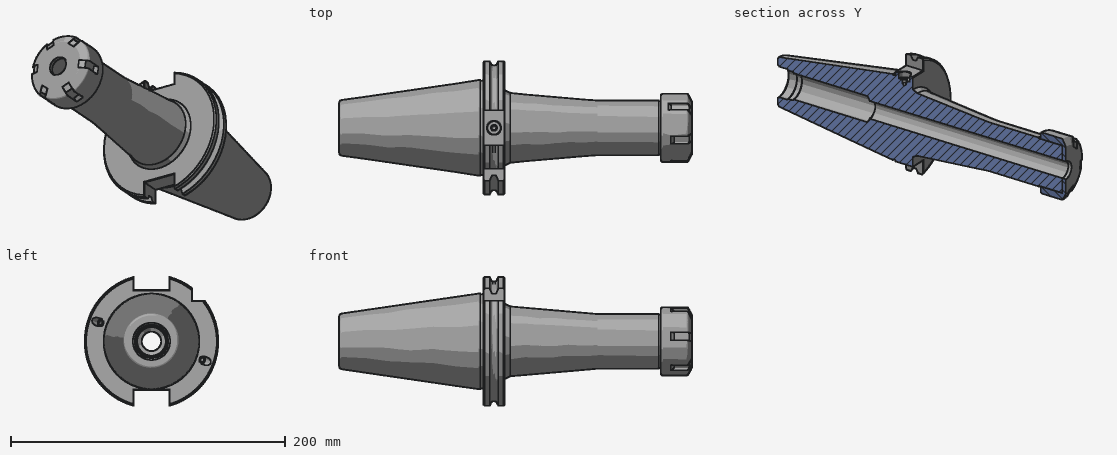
import cadquery as cq
import math


gauge_radius = 34.925
taper_length = 101.75
taper_end_radius = gauge_radius - taper_length * 7 / 48
shank_end_fillet = 2.5

flange_start = 3.2
flange_end = 19.1
flange_radius = 48.75
flange_chamfer = 1.2
undercut_start = 1.0
undercut_radius = 34.4
undercut_fillet = 0.5
groove_center = 11.1
groove_root_radius = 45.6
groove_root_fillet = 1.0
groove_flank_angle = 30
groove_pin_radius = 3.5
groove_pin_center_radius = 50.1

slot_width = 25.7
rim_edge_chamfer = 0.5
upper_slot_floor = 37.5
lower_slot_floor = 35.5
notch_y = -29.7
notch_z = 29.7
chip_pocket_diameter = 9.6
chip_pocket_depth = 4.6
chip_pocket_chamfer = 0.4
chip_pilot_diameter = 3.3
chip_pilot_depth = 3.0
chip_pilot_chamfer = 0.6

coolant_hole_diameter = 6.0
coolant_hole_depth = 3.3
coolant_pilot_diameter = 3.5
coolant_pilot_depth = 7.5
coolant_hole_radius = 41.7
coolant_hole_angle = -70
coolant_hole_slant = 45

neck_fillet_end = 23.0
neck_radius = 25.5
neck_start_radius = 27.4
nose_taper_end = 86.4
nose_radius = 20.0
thread_start = 130.9
thread_radius = 19.5

bore_mouth_radius = 13.6
bore_entry_radius = 12.2
bore_mouth_chamfer = bore_mouth_radius - bore_entry_radius
bore_entry_depth = 8.5
bore_step_radius = 11.4
bore_step_depth = 13.5
bore_thread_radius = 10.4
bore_thread_depth = 80.0
through_radius = 7.0
drill_tip_angle = 59

nut_start = 132.5
nut_end = 155.28
nut_radius = 25.0
nut_rear_fillet = 1.8
nut_front_fillet = 1.8
nut_cone_start = 152.2
nut_face_radius = 19.2
nut_face_fillet = 0.8
nut_lip = 3.0
nut_slot_count = 6
nut_slot_width = 5.9
nut_slot_floor = 22.5
nut_slot_floor_fillet = 0.6
nut_slot_floor_end = 153.1
nut_slot_start = 139.8
nut_slot_front_radius = 18.0
nut_long_slot_extra = 2.0
nut_long_slot_index = 2
nut_turn_angle = 8.8

thread_end = nut_end - nut_lip

PICK_MARGIN = 0.01


def turned(profile):
    """Solid of revolution about X from a closed (x, radius) profile."""
    return profile.close().revolve(360, (0, 0, 0), (1, 0, 0))


def ring(body, x, radius):
    """Circular edge of the body with this radius at this place on the axis."""
    circles = body.edges("%CIRCLE").vals()
    return body.newObject([
        edge for edge in circles
        if abs(edge.radius() - radius) < PICK_MARGIN and abs(edge.Center().x - x) < PICK_MARGIN
    ])


def holder_blank():
    flank_angle = math.radians(groove_flank_angle)
    groove_flank_slope = math.tan(flank_angle)
    apex_radius = groove_pin_center_radius - groove_pin_radius / math.sin(flank_angle)
    groove_half_root = (groove_root_radius - apex_radius) * groove_flank_slope
    groove_half_mouth = (flange_radius - apex_radius) * groove_flank_slope
    shank_end = -taper_length
    blank = turned(
        cq.Workplane("XZ")
        .moveTo(shank_end, 0)
        .lineTo(shank_end, taper_end_radius)
        .lineTo(0, gauge_radius)
        .lineTo(undercut_start, gauge_radius)
        .lineTo(undercut_start, undercut_radius)
        .lineTo(flange_start, undercut_radius)
        .lineTo(flange_start, flange_radius - flange_chamfer)
        .lineTo(flange_start + flange_chamfer, flange_radius)
        .lineTo(groove_center - groove_half_mouth, flange_radius)
        .lineTo(groove_center - groove_half_root, groove_root_radius)
        .lineTo(groove_center + groove_half_root, groove_root_radius)
        .lineTo(groove_center + groove_half_mouth, flange_radius)
        .lineTo(flange_end - flange_chamfer, flange_radius)
        .lineTo(flange_end, flange_radius - flange_chamfer)
        .lineTo(flange_end, neck_start_radius)
        .lineTo(neck_fillet_end, neck_radius)
        .lineTo(nose_taper_end, nose_radius)
        .lineTo(thread_start, nose_radius)
        .lineTo(thread_start, thread_radius)
        .lineTo(thread_end, thread_radius)
        .lineTo(thread_end, 0)
    )
    blank = blank.edges("<X").fillet(shank_end_fillet)
    blank = ring(blank, flange_start, undercut_radius).fillet(undercut_fillet)
    for side in (-1, 1):
        root_corner = ring(blank, groove_center + side * groove_half_root, groove_root_radius)
        blank = root_corner.fillet(groove_root_fillet)
    return blank


def bore_cutter():
    mouth = -taper_length
    entry_end = mouth + bore_entry_depth
    entry_cone = bore_entry_radius - bore_step_radius
    step_end = mouth + bore_step_depth
    step_cone = bore_step_radius - bore_thread_radius
    tip_start = mouth + bore_thread_depth
    tip_length = (bore_thread_radius - through_radius) / math.tan(math.radians(drill_tip_angle))
    return turned(
        cq.Workplane("XZ")
        .moveTo(mouth, 0)
        .lineTo(mouth, bore_mouth_radius)
        .lineTo(mouth + bore_mouth_chamfer, bore_entry_radius)
        .lineTo(entry_end, bore_entry_radius)
        .lineTo(entry_end + entry_cone, bore_step_radius)
        .lineTo(step_end, bore_step_radius)
        .lineTo(step_end + step_cone, bore_thread_radius)
        .lineTo(tip_start, bore_thread_radius)
        .lineTo(tip_start + tip_length, through_radius)
        .lineTo(nut_end, through_radius)
        .lineTo(nut_end, 0)
    )


def flange_block(y_min, y_max, z_min, z_max):
    """Box spanning the flange width, for cutting its rim."""
    return cq.Workplane("XY").box(
        flange_end - flange_start, y_max - y_min, z_max - z_min, centered=False
    ).translate((flange_start, y_min, z_min))


def rim_cutters():
    beyond = flange_radius + 1
    half_slot = slot_width / 2
    return [
        flange_block(-half_slot, half_slot, upper_slot_floor, beyond),
        flange_block(-half_slot, half_slot, -beyond, -lower_slot_floor),
        flange_block(-beyond, notch_y, notch_z, beyond),
    ]


def chip_pocket_cutter():
    """Chamfered round pocket with a chamfered pilot hole in its floor."""
    pocket_radius = chip_pocket_diameter / 2
    pilot_radius = chip_pilot_diameter / 2
    profile = (
        cq.Workplane("XZ")
        .moveTo(0, 0)
        .lineTo(pocket_radius + chip_pocket_chamfer, 0)
        .lineTo(pocket_radius, -chip_pocket_chamfer)
        .lineTo(pocket_radius, -chip_pocket_depth)
        .lineTo(pilot_radius + chip_pilot_chamfer, -chip_pocket_depth)
        .lineTo(pilot_radius, -chip_pocket_depth - chip_pilot_chamfer)
        .lineTo(pilot_radius, -chip_pocket_depth - chip_pilot_depth)
        .lineTo(0, -chip_pocket_depth - chip_pilot_depth - pilot_radius)
        .close()
    )
    pocket = profile.revolve(360, (0, 0, 0), (0, 1, 0))
    return pocket.translate((groove_center, 0, upper_slot_floor))


def coolant_hole_cutter(angle):
    """Stepped hole entering the rear flange face and slanting towards the axis."""
    slant = math.radians(coolant_hole_slant)
    direction = cq.Vector(math.cos(slant), 0, -math.sin(slant))
    entry = cq.Vector(flange_start, 0, coolant_hole_radius)
    hole_radius = coolant_hole_diameter / 2
    start = entry - direction * hole_radius
    hole = cq.Solid.makeCylinder(hole_radius, coolant_hole_depth + hole_radius, start, direction)
    pilot = cq.Solid.makeCylinder(coolant_pilot_diameter / 2, coolant_pilot_depth, entry, direction)
    return cq.Workplane(hole).union(cq.Workplane(pilot)).rotate((0, 0, 0), (1, 0, 0), angle)


def flange_face_lines(body, x):
    """Straight edges that the rim cuts leave on a flange face."""
    lines = body.edges("%LINE").vals()
    return body.newObject([
        edge for edge in lines
        if abs(edge.startPoint().x - x) < PICK_MARGIN and abs(edge.endPoint().x - x) < PICK_MARGIN
    ])


def make_holder():
    holder = holder_blank().cut(bore_cutter())
    for cutter in rim_cutters():
        holder = holder.cut(cutter)
    for face in (flange_start, flange_end):
        holder = flange_face_lines(holder, face).chamfer(rim_edge_chamfer)
    holder = holder.cut(chip_pocket_cutter())
    for angle in (coolant_hole_angle, coolant_hole_angle + 180):
        holder = holder.cut(coolant_hole_cutter(angle))
    return holder


def nut_slot_cutter(angle, start):
    """Wrench slot with a sloped rear end and a floor that falls towards the front."""
    outer = nut_radius + 1
    slot = (
        cq.Workplane("XZ", origin=(0, nut_slot_width / 2, 0))
        .moveTo(start - outer + nut_radius, outer)
        .lineTo(start + nut_radius - nut_slot_floor, nut_slot_floor)
        .lineTo(nut_slot_floor_end, nut_slot_floor)
        .lineTo(nut_end, nut_slot_front_radius)
        .lineTo(nut_end, outer)
        .close()
        .extrude(nut_slot_width)
        .edges("|X").edges("<Z").fillet(nut_slot_floor_fillet)
    )
    return slot.rotate((0, 0, 0), (1, 0, 0), angle)


def make_nut():
    nut = turned(
        cq.Workplane("XZ")
        .moveTo(nut_start, thread_radius)
        .lineTo(nut_start, nut_radius)
        .lineTo(nut_cone_start, nut_radius)
        .lineTo(nut_end, nut_face_radius)
        .lineTo(nut_end, through_radius)
        .lineTo(thread_end, through_radius)
        .lineTo(thread_end, thread_radius)
    )
    nut = ring(nut, nut_start, nut_radius).fillet(nut_rear_fillet)
    nut = ring(nut, nut_cone_start, nut_radius).fillet(nut_front_fillet)
    nut = ring(nut, nut_end, nut_face_radius).fillet(nut_face_fillet)
    for index in range(nut_slot_count):
        is_long = index == nut_long_slot_index
        start = nut_slot_start - (nut_long_slot_extra if is_long else 0)
        nut = nut.cut(nut_slot_cutter(90 - index * 360 / nut_slot_count, start))
    return nut.rotate((0, 0, 0), (1, 0, 0), -nut_turn_angle)


holder = make_holder()
nut = make_nut()
result = cq.Compound.makeCompound([holder.solids().val(), nut.solids().val()])